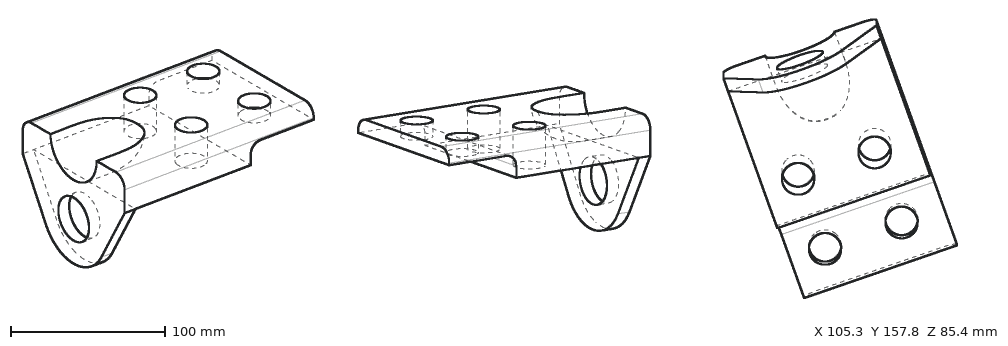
import cadquery as cq
import math

length = 157.8
width = 105.3
half_width = width / 2
edge_radius = 9.2

plate_thickness = 10.5
block_thickness = 26.4
block_length = 105.3
step_radius = 7.9

lug_thickness = 9.2
lug_radius = 32.8
lug_hole_diameter = 31.5
lug_bottom = -85.4
lug_center_z = lug_bottom + lug_radius

bolt_diameter = 21.0
bolt_spacing = length / 3
bolt_pattern_x = -2.7
bolt_pattern_y = block_length

pocket_mouth_radius = 23.8
pocket_length = 52.7
pocket_profile = [
    (pocket_mouth_radius, 0),
    (24.0, 12.6),
    (21.3, 36.5),
    (16.7, 44.7),
    (0, pocket_length),
]


def make_body():
    """Stepped side profile extruded across the width, with rounded top edges."""
    body = (
        cq.Workplane("YZ")
        .moveTo(0, 0)
        .lineTo(length, 0)
        .lineTo(length, -plate_thickness)
        .lineTo(block_length + step_radius, -plate_thickness)
        .radiusArc((block_length, -plate_thickness - step_radius), -step_radius)
        .lineTo(block_length, -block_thickness)
        .lineTo(0, -block_thickness)
        .close()
        .extrude(half_width, both=True)
    )
    return body.edges("|Y and >Z").edges("<X or >X").fillet(edge_radius)


def make_lug():
    """Tapered lug whose straight sides run tangent into the rounded end."""
    drop = -block_thickness - lug_center_z
    corner_distance = math.hypot(half_width, drop)
    tangent_angle = math.atan2(drop, half_width) - math.acos(lug_radius / corner_distance)
    tangent_x = lug_radius * math.cos(tangent_angle)
    tangent_z = lug_center_z + lug_radius * math.sin(tangent_angle)
    return (
        cq.Workplane("XZ")
        .moveTo(-half_width, -block_thickness)
        .lineTo(half_width, -block_thickness)
        .lineTo(tangent_x, tangent_z)
        .threePointArc((0, lug_bottom), (-tangent_x, tangent_z))
        .close()
        .moveTo(0, lug_center_z)
        .circle(lug_hole_diameter / 2)
        .extrude(-lug_thickness)
    )


def make_bolt_holes():
    """Cutters for the four through holes."""
    return (
        cq.Workplane("XY")
        .center(bolt_pattern_x, bolt_pattern_y)
        .rarray(bolt_spacing, bolt_spacing, 2, 2)
        .circle(bolt_diameter / 2)
        .extrude(-block_thickness)
    )


def make_pocket():
    """Bullet-shaped cutter turned about the Y axis."""
    return (
        cq.Workplane("XY")
        .moveTo(*pocket_profile[0])
        .spline(pocket_profile[1:], tangents=[(0, 1), (-1, 0)], includeCurrent=True)
        .lineTo(0, 0)
        .close()
        .revolve(360, (0, 0), (0, 1))
    )


result = make_body().union(make_lug()).cut(make_bolt_holes()).cut(make_pocket())